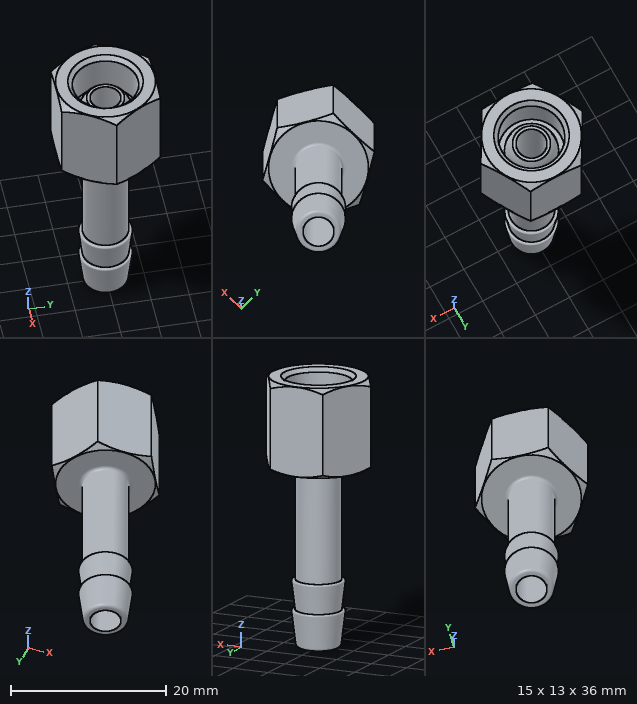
import cadquery as cq
import math

total_height = 36.0

across_flats = 13.0
across_corners = across_flats / math.cos(math.radians(30))
head_height = 12.0
head_bottom = total_height - head_height
head_face_radius = 12.9 / 2
head_chamfer_angle = math.radians(30)

socket_radius = 8.55 / 2
socket_mouth_radius = 9.72 / 2
socket_chamfer = socket_mouth_radius - socket_radius
nose_radius = 7.0 / 2
nose_face_radius = 4.9 / 2
nose_depth = 3.0
nose_height = math.sqrt(nose_radius**2 - nose_face_radius**2)
socket_floor = total_height - nose_depth - nose_height

bore_radius = 4.0 / 2
tube_radius = 6.0 / 2
neck_fillet = 0.45
end_fillet = 0.45
barb_radius = 7.05 / 2
barb_end_radius = 2.9
barb_rim_fillet = 0.2
lower_barb_top = 5.0
upper_barb_top = 9.0
barb_taper = (barb_radius - barb_end_radius) / lower_barb_top
upper_barb_end_radius = barb_radius - barb_taper * (upper_barb_top - lower_barb_top)


def barb(bottom, top, end_radius):
    """Solid cone widening upwards, with a rounded top rim."""
    profile = (
        cq.Workplane("XZ")
        .moveTo(0, bottom)
        .lineTo(end_radius, bottom)
        .lineTo(barb_radius, top)
        .lineTo(0, top)
        .close()
    )
    cone = profile.revolve(360, (0, 0), (0, 1))
    return cone.faces(">Z").edges().fillet(barb_rim_fillet)


def turned_envelope():
    """Cone-ended cylinder that trims the corners of the head."""
    corner_radius = across_corners / 2
    chamfer_height = (corner_radius - head_face_radius) * math.tan(head_chamfer_angle)
    return (
        cq.Workplane("XZ")
        .moveTo(0, head_bottom)
        .lineTo(head_face_radius, head_bottom)
        .lineTo(corner_radius, head_bottom + chamfer_height)
        .lineTo(corner_radius, total_height - chamfer_height)
        .lineTo(head_face_radius, total_height)
        .lineTo(0, total_height)
        .close()
        .revolve(360, (0, 0), (0, 1))
    )


def hex_head():
    """Hexagonal prism with its corners turned down conically at both ends."""
    prism = (
        cq.Workplane("XY")
        .workplane(offset=head_bottom)
        .polygon(6, across_corners)
        .extrude(head_height)
    )
    return prism.intersect(turned_envelope())


def socket():
    """Chamfered round recess in the top of the head."""
    return (
        cq.Workplane("XZ")
        .moveTo(0, socket_floor)
        .lineTo(socket_radius, socket_floor)
        .lineTo(socket_radius, total_height - socket_chamfer)
        .lineTo(socket_mouth_radius, total_height)
        .lineTo(0, total_height)
        .close()
        .revolve(360, (0, 0), (0, 1))
    )


def sealing_nose():
    """Half ball standing on the socket floor, cut flat at the top."""
    middle_angle = math.acos(nose_face_radius / nose_radius) / 2
    arc_middle = (
        nose_radius * math.cos(middle_angle),
        socket_floor + nose_radius * math.sin(middle_angle),
    )
    return (
        cq.Workplane("XZ")
        .moveTo(0, socket_floor)
        .lineTo(nose_radius, socket_floor)
        .threePointArc(arc_middle, (nose_face_radius, socket_floor + nose_height))
        .lineTo(0, socket_floor + nose_height)
        .close()
        .revolve(360, (0, 0), (0, 1))
    )


def neck():
    """Straight tube from the barbs up to the head, flared by a fillet under the head."""
    arc_middle = (
        tube_radius + neck_fillet * (1 - math.sqrt(0.5)),
        head_bottom - neck_fillet * (1 - math.sqrt(0.5)),
    )
    return (
        cq.Workplane("XZ")
        .moveTo(0, lower_barb_top)
        .lineTo(tube_radius, lower_barb_top)
        .lineTo(tube_radius, head_bottom - neck_fillet)
        .threePointArc(arc_middle, (tube_radius + neck_fillet, head_bottom))
        .lineTo(0, head_bottom)
        .close()
        .revolve(360, (0, 0), (0, 1))
    )


lower_barb = barb(0, lower_barb_top, barb_end_radius).faces("<Z").edges().fillet(end_fillet)
upper_barb = barb(lower_barb_top, upper_barb_top, upper_barb_end_radius)
head = hex_head().cut(socket())
bore = cq.Workplane("XY").circle(bore_radius).extrude(total_height)

result = lower_barb.union(upper_barb).union(neck()).union(head).union(sealing_nose()).cut(bore)